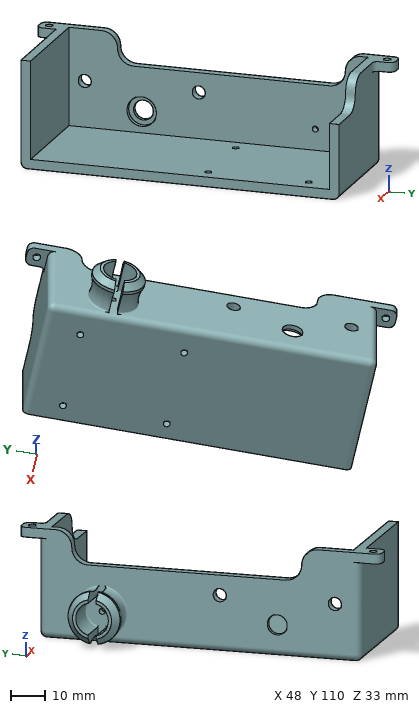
import cadquery as cq


overall_length = 110.0
ear_length = 6.0
tray_length = overall_length - 2 * ear_length
tray_depth = 38.0
tray_height = 33.0
wall = 3.0
outer_radius = 2.0
half_length = tray_length / 2

ear_width = 6.0
ear_hole_diameter = 2.2
ear_web_radius = 1.5

step_radius = 5.0
step_drop = 2 * step_radius
notch_end_y = 39.0
notch_start_y = -31.0
end_step_x = 23.2

floor_hole_diameter = 2.0
floor_hole_x = (8.0, 33.0)
floor_hole_y = (7.0, 38.0)
screw_hole_diameter = 4.0
screw_hole_y = (-41.1, -6.0)
screw_hole_z = 17.0
cable_hole_diameter = 6.0
cable_hole_y = sum(screw_hole_y) / 2
cable_recess_diameter = 9.0
cable_recess_depth = 1.5

spigot_y = 29.8
spigot_z = 9.5
spigot_length = 10.0
tip_radius = 5.9
lip_radius = 7.9
lip_land = 1.0
neck_radius = 7.0
neck_root_radius = 7.5
bore_radius = 5.0
slot_width = 2.5
root_fillet = 0.4
pilot_diameter = 1.8


def make_tray():
    """Rounded block hollowed to a floor, a mounting wall and two end walls."""
    block = cq.Workplane("XY").box(tray_depth, tray_length, tray_height, centered=(False, True, False))
    block = block.edges("<X or (<Z and |X)").fillet(outer_radius)
    band = (
        cq.Workplane("XY")
        .box(wall, tray_length, wall, centered=(False, True, False))
        .translate((0, 0, tray_height - wall))
    )
    cavity = (
        cq.Workplane("XY")
        .box(tray_depth, tray_length - 2 * wall, tray_height, centered=(False, True, False))
        .translate((wall, 0, wall))
    )
    return block.union(band).cut(cavity)


def make_ear(side):
    """Rounded, drilled ear in line with the mounting wall; side is +1 or -1."""
    inner_y = half_length - wall
    ear = (
        cq.Workplane("XY", origin=(0, inner_y, tray_height - wall))
        .rect(ear_width, overall_length / 2 - inner_y, centered=False)
        .extrude(wall)
        .edges("|Z and >Y")
        .fillet(outer_radius)
    )
    hole = (
        cq.Workplane("XY", origin=(ear_width / 2, overall_length / 2 - ear_width / 2, 0))
        .circle(ear_hole_diameter / 2)
        .extrude(tray_height)
    )
    ear = ear.cut(hole)
    return ear if side > 0 else ear.mirror("XZ")


def make_ear_web():
    """Concave corner between the +Y ear and the +Y end wall."""
    return (
        cq.Workplane("XY", origin=(ear_width, half_length, tray_height - wall))
        .lineTo(ear_web_radius, 0)
        .radiusArc((0, ear_web_radius), ear_web_radius)
        .close()
        .extrude(wall)
    )


def step_down(plane, start):
    """Trace a top edge's S-shaped step from its high end to its low end."""
    middle = start + step_radius
    return (
        plane.moveTo(start, tray_height)
        .radiusArc((middle, tray_height - step_radius), step_radius)
        .radiusArc((middle + step_radius, tray_height - step_drop), -step_radius)
    )


def make_wall_notch():
    """Wide dip in the mounting wall with an S-shaped step at each end."""
    low_z = tray_height - step_drop
    middle_z = tray_height - step_radius
    return (
        step_down(cq.Workplane("YZ"), notch_start_y - step_radius)
        .lineTo(notch_end_y - step_radius, low_z)
        .radiusArc((notch_end_y, middle_z), -step_radius)
        .radiusArc((notch_end_y + step_radius, tray_height), step_radius)
        .close()
        .extrude(wall)
    )


def make_end_wall_notch():
    """Lowered open end of the +Y end wall."""
    return (
        step_down(cq.Workplane("XZ", origin=(0, half_length, 0)), end_step_x - step_radius)
        .lineTo(tray_depth, tray_height - step_drop)
        .lineTo(tray_depth, tray_height)
        .close()
        .extrude(wall)
    )


def wall_drill(diameter, y, z, depth=wall):
    """Cylinder reaching from the wall's inner face outwards by the given depth."""
    return cq.Workplane("YZ", origin=(wall, y, z)).circle(diameter / 2).extrude(-depth)


def make_spigot():
    """Waisted tube with a lipped tip, slotted top and bottom and flared at its root."""
    cone_length = lip_radius - tip_radius
    lip_end = -spigot_length + cone_length + lip_land
    tube = (
        cq.Workplane("XY")
        .moveTo(-spigot_length, bore_radius)
        .lineTo(-spigot_length, tip_radius)
        .lineTo(-spigot_length + cone_length, lip_radius)
        .lineTo(lip_end, lip_radius)
        .threePointArc((lip_end / 2, neck_radius), (0, neck_root_radius))
        .lineTo(0, bore_radius)
        .close()
        .revolve(360, (0, 0, 0), (1, 0, 0))
    )
    slot = cq.Workplane("XY").box(2 * spigot_length, slot_width, 4 * lip_radius)
    plate = cq.Workplane("YZ").rect(4 * lip_radius, 4 * lip_radius).extrude(wall)
    root_edges = cq.selectors.BoxSelector(
        (-root_fillet / 10, -1.5 * lip_radius, -1.5 * lip_radius),
        (root_fillet / 10, 1.5 * lip_radius, 1.5 * lip_radius),
    )
    flared = tube.cut(slot).union(plate).edges(root_edges).fillet(root_fillet)
    lower_slot = slot.translate((0, 0, -2 * lip_radius))
    return flared.cut(plate).cut(lower_slot).translate((0, spigot_y, spigot_z))


result = make_tray()
for side in (1, -1):
    result = result.union(make_ear(side))
result = result.union(make_ear_web())
result = result.cut(make_wall_notch()).cut(make_end_wall_notch())

for x in floor_hole_x:
    for y in floor_hole_y:
        floor_drill = cq.Workplane("XY", origin=(x, y, 0)).circle(floor_hole_diameter / 2).extrude(wall)
        result = result.cut(floor_drill)

for y in screw_hole_y:
    result = result.cut(wall_drill(screw_hole_diameter, y, screw_hole_z))
result = result.cut(wall_drill(cable_hole_diameter, cable_hole_y, spigot_z))
result = result.cut(wall_drill(cable_recess_diameter, cable_hole_y, spigot_z, cable_recess_depth))
result = result.cut(wall_drill(pilot_diameter, spigot_y, spigot_z))
result = result.union(make_spigot())